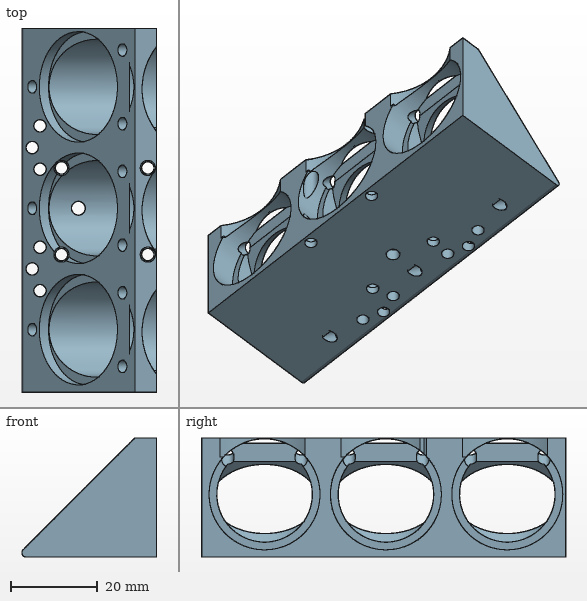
import cadquery as cq
import math

LENGTH = 84.0
HEIGHT = 27.53
TOP_FLAT = 5.0
NOSE_RADIUS = 1.0
NOSE_SHIFT = math.sqrt(2) * NOSE_RADIUS
DEPTH = HEIGHT + TOP_FLAT - NOSE_SHIFT

PITCH = 28.0
SOCKET_SHIFT = 0.5
SOCKET_CENTRES = [SOCKET_SHIFT + i * PITCH for i in (-1, 0, 1)]
SOCKET_X = 13.05
SEAT_DIAMETER = 25.5
SEAT_DEPTH = 3.0
BORE_DIAMETER = 22.0
CAVITY_DIAMETER = 25.6
CAVITY_START = 24.9

SCALLOP_CENTRES = [i * PITCH for i in (-1, 0, 1)]
SCALLOP_RADIUS = 16.0
SCALLOP_BITE = 3.37
SCALLOP_DEPTH = 4.4

SCREW_DIAMETER = 2.9
SCREW_DEPTH = 6.0
LOWER_SCREW_X = 2.4
UPPER_SCREW_X = 23.2
UPPER_SCREW_OFFSET = 8.5

PIN_DIAMETER = 2.8
PIN_GROUP_CENTRES = [SOCKET_SHIFT - PITCH / 2, SOCKET_SHIFT + PITCH / 2]
MIDDLE_PIN_X = 2.4
OUTER_PIN_X = 4.2
OUTER_PIN_OFFSET = 5.0

MOUNT_DIAMETER = 3.5
MOUNT_CORE_DIAMETER = 2.8
MOUNT_CORE_HEIGHT = 2.0
MOUNT_FRONT_X = 9.15
MOUNT_REAR_X = DEPTH - 2.05
MOUNT_CENTRE = -0.2
MOUNT_OFFSET = 10.0

FLOOR_HOLE_DIAMETER = 3.14

CLEARANCE = 1.0


def slope_z(x):
    """Height of the sloping face at x."""
    return x + NOSE_SHIFT


def slope_plane(x, y):
    """Plane on the sloping face whose normal points into the body."""
    return cq.Plane(origin=(x, y, slope_z(x)), xDir=(0, 1, 0), normal=(1, 0, -1))


def slope_hole(x, y, diameter, depth):
    start = cq.Workplane(slope_plane(x, y)).workplane(offset=-CLEARANCE)
    return start.circle(diameter / 2).extrude(depth + CLEARANCE)


def rear_bore(start_x, y, diameter):
    """Cylinder along X at socket height, from start_x out through the back."""
    start = cq.Workplane("YZ", origin=(start_x, y, slope_z(SOCKET_X)))
    return start.circle(diameter / 2).extrude(DEPTH + CLEARANCE - start_x)


def vertical_hole(x, y, diameter, bottom=-CLEARANCE):
    start = cq.Workplane("XY", origin=(x, y, bottom))
    return start.circle(diameter / 2).extrude(HEIGHT + CLEARANCE - bottom)


def wedge():
    outline = [(-NOSE_SHIFT, 0), (DEPTH, 0), (DEPTH, HEIGHT), (DEPTH - TOP_FLAT, HEIGHT)]
    prism = cq.Workplane("XZ").polyline(outline).close().extrude(LENGTH / 2, both=True)
    return prism.edges("<X").fillet(NOSE_RADIUS)


def socket(y):
    """Seat, bore and cavity; the bore begins at the seat floor."""
    seat = slope_hole(SOCKET_X, y, SEAT_DIAMETER, SEAT_DEPTH)
    below_seat = (
        cq.Workplane(slope_plane(SOCKET_X, y))
        .workplane(offset=SEAT_DEPTH)
        .rect(LENGTH, LENGTH)
        .extrude(LENGTH)
    )
    bore = rear_bore(0, y, BORE_DIAMETER).intersect(below_seat)
    cavity = rear_bore(CAVITY_START, y, CAVITY_DIAMETER)
    return [seat, bore, cavity]


def scallop(y):
    centre_x = DEPTH - SCALLOP_BITE + SCALLOP_RADIUS
    return [vertical_hole(centre_x, y, 2 * SCALLOP_RADIUS, HEIGHT - SCALLOP_DEPTH)]


def socket_screws(y):
    places = [
        (LOWER_SCREW_X, y),
        (UPPER_SCREW_X, y - UPPER_SCREW_OFFSET),
        (UPPER_SCREW_X, y + UPPER_SCREW_OFFSET),
    ]
    return [slope_hole(hole_x, hole_y, SCREW_DIAMETER, SCREW_DEPTH) for hole_x, hole_y in places]


def pin_group(y):
    places = [
        (MIDDLE_PIN_X, y),
        (OUTER_PIN_X, y - OUTER_PIN_OFFSET),
        (OUTER_PIN_X, y + OUTER_PIN_OFFSET),
    ]
    return [vertical_hole(hole_x, hole_y, PIN_DIAMETER) for hole_x, hole_y in places]


def mount_hole(x, y):
    return [
        vertical_hole(x, y, MOUNT_CORE_DIAMETER),
        vertical_hole(x, y, MOUNT_DIAMETER, MOUNT_CORE_HEIGHT),
    ]


cutters = [vertical_hole(SOCKET_X, SOCKET_SHIFT, FLOOR_HOLE_DIAMETER)]
for centre in SOCKET_CENTRES:
    cutters += socket(centre)
    cutters += socket_screws(centre)
for centre in SCALLOP_CENTRES:
    cutters += scallop(centre)
for centre in PIN_GROUP_CENTRES:
    cutters += pin_group(centre)
for mount_x in (MOUNT_FRONT_X, MOUNT_REAR_X):
    for mount_y in (MOUNT_CENTRE - MOUNT_OFFSET, MOUNT_CENTRE + MOUNT_OFFSET):
        cutters += mount_hole(mount_x, mount_y)

result = wedge()
for cutter in cutters:
    result = result.cut(cutter)